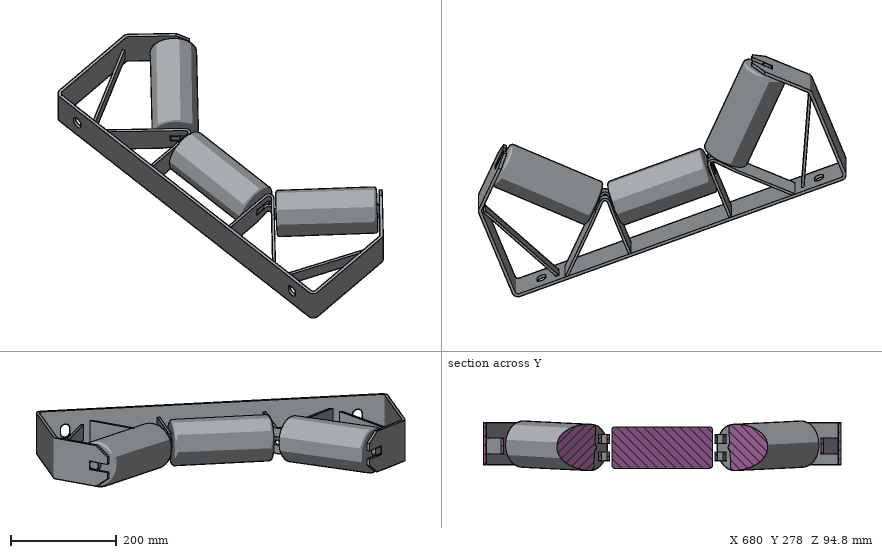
import cadquery as cq
import math

FRAME_WIDTH = 680.0
FRAME_HEIGHT = 80.0
FRAME_THICK = 6.0
FRAME_BEND = 2 * FRAME_THICK
ARM_TIP_Y = 278.0
ARM_CHAMFER_LONG = 26.0
ARM_CHAMFER_HIGH = 18.5
ARM_SLOT_Z = -1.0
MOUNT_HOLE_X = 283.0
MOUNT_HOLE_WIDTH = 18.5
MOUNT_HOLE_HEIGHT = 26.5

ROLLER_LENGTH = 192.0
ROLLER_RADIUS = 44.0
ROLLER_FILLET = 5.5
ROLLER_GAP = 4.0
SHAFT_DIA = 20.0
SHAFT_FLATS = 14.0
SHOULDER_GAP = 1.0
SIDE_ANGLE = 45
TILT = 2.0
CENTER_AXIS_Y = 99.0
SIDE_AXIS_SUM = -20.0
SLOT_HEIGHT = 16.0

BRACKET_THICK = 5.0
BRACKET_BEND = 2 * BRACKET_THICK
BRACKET_HEIGHT = 50.0
BRACKET_DIAGONAL = 241.0
BRACKET_SKIRT = 7.0
SKIRT_TOP_Y = 117.0
SKIRT_BOTTOM_Y = 89.0

STRUT_THICK = 5.0
STRUT_HEIGHT = 30.0
STRUT_Z = -4.0
STRUT_FOOT_X = -253.0
STRUT_TOP_Y = 177.0

ROOT2 = math.sqrt(2)
HALF_WIDTH = FRAME_WIDTH / 2
SPAN = ROLLER_LENGTH + 2 * ROLLER_GAP
SHAFT_LENGTH = SPAN + 2 * BRACKET_THICK
FLAT_LENGTH = BRACKET_THICK + SHOULDER_GAP
SHAFT_DROP = SHAFT_LENGTH * math.sin(math.radians(TILT))
LEG_X = -SPAN / 2
ARM_DIAGONAL = BRACKET_DIAGONAL + (SPAN + FRAME_THICK) * ROOT2
CUTTER_SIZE = 204.0


def miter_offset(path, distance):
    """Open polyline moved sideways, to the left of its direction."""
    normals = []
    for (x0, y0), (x1, y1) in zip(path, path[1:]):
        length = math.hypot(x1 - x0, y1 - y0)
        normals.append((-(y1 - y0) / length, (x1 - x0) / length))
    moved = []
    for i, (x, y) in enumerate(path):
        ax, ay = normals[max(i - 1, 0)]
        bx, by = normals[min(i, len(normals) - 1)]
        scale = distance / (1 + ax * bx + ay * by)
        moved.append((x + (ax + bx) * scale, y + (ay + by) * scale))
    return moved


def bent_strip(path, thickness, bend, z_low, z_high):
    """Strip whose outer face follows the path, with rounded bends."""
    inner = miter_offset(path, thickness)
    strip = cq.Workplane("XY").workplane(offset=z_low)
    strip = strip.polyline(path + inner[::-1]).close().extrude(z_high - z_low)
    z_mid = (z_low + z_high) / 2
    for corners, radius in ((path, bend), (inner, bend - thickness)):
        for x, y in corners[1:-1]:
            strip = strip.edges(cq.NearestToPointSelector((x, y, z_mid))).fillet(radius)
    return strip


def mirrored(body):
    return body.mirror("YZ")


def base_cutter():
    """Block filling everything below the top face of the frame's base."""
    block = cq.Workplane("XY").box(2 * FRAME_WIDTH, CUTTER_SIZE, CUTTER_SIZE)
    return block.translate((0, FRAME_THICK - CUTTER_SIZE / 2, 0))


def arm_plane():
    """Plane on the left arm's outer face: x up along the arm, y along -Z, normal outward."""
    tip = (ARM_TIP_Y - ARM_DIAGONAL, ARM_TIP_Y, 0)
    return cq.Plane(origin=tip, xDir=(1, 1, 0), normal=(-1, 1, 0))


def arm_cuts():
    """Slot and tip chamfers of the left arm."""
    axis_to_tip = (2 * ARM_TIP_Y - ARM_DIAGONAL - SIDE_AXIS_SUM) / ROOT2
    slot_depth = axis_to_tip + SHAFT_DIA / 2
    face = cq.Workplane(arm_plane())
    cuts = (
        face.center(-slot_depth / 2, -ARM_SLOT_Z)
        .rect(slot_depth, SLOT_HEIGHT)
        .extrude(FRAME_THICK, both=True)
    )
    half = FRAME_HEIGHT / 2
    for side in (-1, 1):
        corner = [
            (0, side * half),
            (-ARM_CHAMFER_LONG, side * half),
            (0, side * (half - ARM_CHAMFER_HIGH)),
        ]
        cuts = cuts.add(face.polyline(corner).close().extrude(FRAME_THICK, both=True))
    return cuts.combine()


def make_frame():
    tip = (ARM_TIP_Y - ARM_DIAGONAL, ARM_TIP_Y)
    shoulder = (-HALF_WIDTH, ARM_DIAGONAL - HALF_WIDTH)
    corner = (-HALF_WIDTH, 0)
    left = [tip, shoulder, corner]
    right = [(-x, y) for x, y in left[::-1]]
    half = FRAME_HEIGHT / 2
    frame = bent_strip(left + right, FRAME_THICK, FRAME_BEND, -half, half)
    cuts = arm_cuts()
    frame = frame.cut(cuts).cut(mirrored(cuts))
    holes = (
        cq.Workplane("XZ")
        .pushPoints([(-MOUNT_HOLE_X, 0), (MOUNT_HOLE_X, 0)])
        .slot2D(MOUNT_HOLE_HEIGHT, MOUNT_HOLE_WIDTH, 90)
        .extrude(-FRAME_THICK)
    )
    return frame.cut(holes)


def make_bracket():
    """Left bracket."""
    z_mid = -SHAFT_DROP
    z_top = z_mid + BRACKET_HEIGHT / 2
    z_peak = z_mid - BRACKET_HEIGHT / 2
    z_low = z_peak - BRACKET_SKIRT
    path = [(LEG_X, 0), (LEG_X, LEG_X + BRACKET_DIAGONAL), (-BRACKET_DIAGONAL, 0)]
    bracket = bent_strip(path, BRACKET_THICK, BRACKET_BEND, z_low, z_top)

    below_peak = (
        cq.Workplane("YZ")
        .polyline(
            [
                (SKIRT_BOTTOM_Y, z_low),
                (SKIRT_TOP_Y, z_peak),
                (CUTTER_SIZE, z_peak),
                (CUTTER_SIZE, z_low),
            ]
        )
        .close()
        .extrude(-FRAME_WIDTH)
    )

    axis_x = (SIDE_AXIS_SUM - BRACKET_DIAGONAL) / 2
    seat = SHAFT_DIA / 2
    seat_x = axis_x - seat / ROOT2
    seat_y = seat_x + BRACKET_DIAGONAL
    depth = BRACKET_THICK / ROOT2
    seat_upright = CENTER_AXIS_Y - seat
    outline = [
        (seat_x, seat_y),
        (seat_x + depth, seat_y - depth),
        (LEG_X - BRACKET_THICK, seat_upright),
        (LEG_X, seat_upright),
        (LEG_X, LEG_X + BRACKET_DIAGONAL),
    ]
    slot = (
        cq.Workplane("XY")
        .workplane(offset=z_mid - SLOT_HEIGHT / 2)
        .polyline(outline)
        .close()
        .extrude(SLOT_HEIGHT)
    )
    return bracket.cut(base_cutter()).cut(below_peak).cut(slot)


def make_strut():
    """Left strut: top corner against the side wall, foot cut flush with the base."""
    wall_x = -HALF_WIDTH + FRAME_THICK
    rise = STRUT_TOP_Y - FRAME_THICK
    run = STRUT_FOOT_X - wall_x
    length = math.hypot(rise, run)
    strut = (
        cq.Workplane("XY")
        .box(2 * length, STRUT_THICK, STRUT_HEIGHT)
        .translate((length, STRUT_THICK / 2, STRUT_Z))
        .rotate((0, 0, 0), (0, 0, 1), -math.degrees(math.atan2(rise, run)))
        .translate((wall_x, STRUT_TOP_Y, 0))
    )
    return strut.cut(base_cutter())


def centered_cylinder(radius, length):
    """Cylinder along X, centred on the origin."""
    return cq.Workplane("YZ").workplane(offset=-length / 2).circle(radius).extrude(length)


def make_roller():
    """Roller centred on the origin, axis along X, shaft flats facing Z."""
    shell = centered_cylinder(ROLLER_RADIUS, ROLLER_LENGTH)
    shell = shell.faces("<X or >X").edges().fillet(ROLLER_FILLET)
    shaft = centered_cylinder(SHAFT_DIA / 2, SHAFT_LENGTH)
    flat_depth = (SHAFT_DIA - SHAFT_FLATS) / 2
    for end in (-1, 1):
        for side in (-1, 1):
            flat = cq.Workplane("XY").box(FLAT_LENGTH, SHAFT_DIA, flat_depth)
            x = end * (SHAFT_LENGTH - FLAT_LENGTH) / 2
            z = side * (SHAFT_FLATS + flat_depth) / 2
            shaft = shaft.cut(flat.translate((x, 0, z)))
    return shell.union(shaft)


def make_side_roller():
    """Left roller, dropping toward the middle."""
    middle_diagonal = BRACKET_DIAGONAL + SPAN / ROOT2
    x = (SIDE_AXIS_SUM - middle_diagonal) / 2
    y = (SIDE_AXIS_SUM + middle_diagonal) / 2
    return (
        make_roller()
        .rotate((0, 0, 0), (0, 1, 0), TILT)
        .rotate((0, 0, 0), (0, 0, 1), -SIDE_ANGLE)
        .translate((x, y, -SHAFT_DROP / 2))
    )


frame = make_frame()
center_roller = make_roller().translate((0, CENTER_AXIS_Y, -SHAFT_DROP))
bodies = [*frame.solids().vals(), *center_roller.solids().vals()]
for make_left in (make_side_roller, make_bracket, make_strut):
    left_body = make_left()
    for body in (left_body, mirrored(left_body)):
        bodies += body.solids().vals()

result = cq.Compound.makeCompound(bodies)